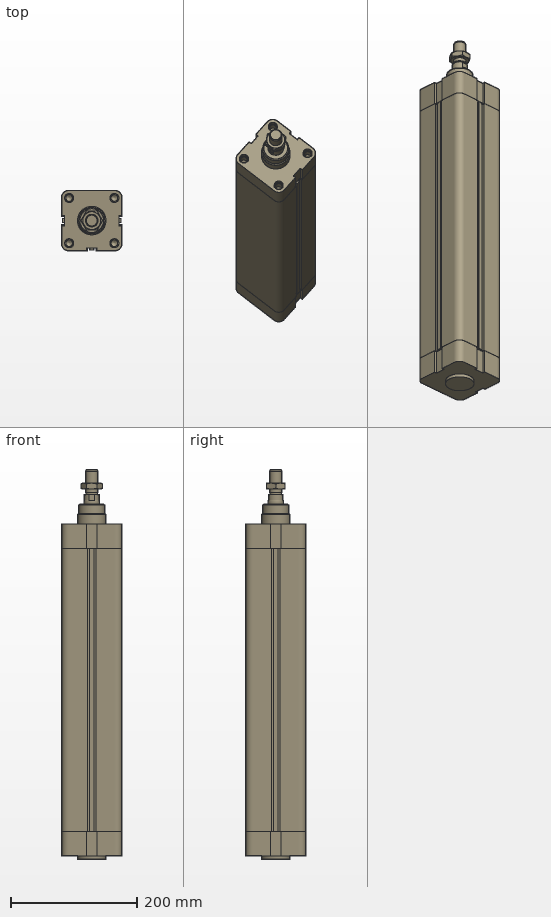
import cadquery as cq
import math

total_height = 618.0
side = 96.0
corner_radius = 11.0
foot_height = 5.5
cap_height = 39.0
cap_top_level = 532.0

notch_width = 16.5
notch_depth = 4.5
slot_width = 13.0
slot_depth = 4.5
rib_recess = 1.0
rib_width = 7.0
slot_side_angles = (-90, 0, 180)

hole_spacing = 71.5
counterbore_diameter = 14.0
counterbore_depth = 6.0
hole_diameter = 10.5
hole_depth = 18.5
drill_tip_angle = 118.0

spigot_diameter = 45.0
spigot_height = 16.5
collar_diameter = 41.5
collar_height = 31.5
collar_chamfer = 2.0

rod_diameter = 25.0
rod_top_level = 569.0
rod_taper_height = 2.0
tang_diameter = 24.0
tang_top_level = 578.5
flats_across = 22.0
undercut_diameter = 18.5
undercut_height = 3.0
thread_diameter = 20.0
thread_chamfer_height = 2.5
thread_chamfer_width = 1.0

nut_across_flats = 29.5
nut_bottom_level = 587.0
nut_height = 10.0
nut_face_diameter = 28.5
nut_chamfer_angle = 30.0

barrel_bottom_level = foot_height + cap_height
barrel_top_level = cap_top_level - cap_height
barrel_height = barrel_top_level - barrel_bottom_level


def cylinder(diameter, bottom, top):
    return cq.Workplane("XY").workplane(offset=bottom).circle(diameter / 2).extrude(top - bottom)


def rounded_block(bottom, height):
    block = cq.Workplane("XY").workplane(offset=bottom).rect(side, side).extrude(height)
    return block.edges("|Z").fillet(corner_radius)


def side_channel(width, depth, offset, bottom, height, angle):
    """Straight vertical channel in the side face that points along the given angle."""
    channel = (
        cq.Workplane("XY")
        .workplane(offset=bottom)
        .center(side / 2, offset)
        .rect(2 * depth, width)
        .extrude(height)
    )
    return channel.rotate((0, 0, 0), (0, 0, 1), angle)


def notched_block(bottom):
    """Cap block with a shallow notch down each slotted side."""
    block = rounded_block(bottom, cap_height)
    for angle in slot_side_angles:
        block = block.cut(side_channel(notch_width, notch_depth, 0, bottom, cap_height, angle))
    return block


def make_lower_cap():
    foot = cylinder(spigot_diameter, 0, foot_height)
    return notched_block(foot_height).union(foot)


def make_barrel():
    """Profiled block whose three sensor slots each keep a recessed rib between two grooves."""
    barrel = rounded_block(barrel_bottom_level, barrel_height)
    groove_width = (slot_width - rib_width) / 2
    groove_offset = (slot_width + rib_width) / 4
    for angle in slot_side_angles:
        barrel = barrel.cut(
            side_channel(slot_width, rib_recess, 0, barrel_bottom_level, barrel_height, angle)
        )
        for offset in (-groove_offset, groove_offset):
            barrel = barrel.cut(
                side_channel(groove_width, slot_depth, offset, barrel_bottom_level, barrel_height, angle)
            )
    return barrel


def screw_hole():
    """Cutter for one counterbored hole with a drilled tip, its mouth at the origin."""
    tip_depth = hole_diameter / 2 / math.tan(math.radians(drill_tip_angle / 2))
    profile = (
        cq.Workplane("XZ")
        .lineTo(counterbore_diameter / 2, 0)
        .lineTo(counterbore_diameter / 2, -counterbore_depth)
        .lineTo(hole_diameter / 2, -counterbore_depth)
        .lineTo(hole_diameter / 2, -hole_depth)
        .lineTo(0, -hole_depth - tip_depth)
        .close()
    )
    return profile.revolve(360, (0, 0, 0), (0, 1, 0))


def make_upper_cap():
    spigot_top = cap_top_level + spigot_height
    collar_top = cap_top_level + collar_height
    spigot = cylinder(spigot_diameter, cap_top_level, spigot_top)
    spigot = spigot.faces(">Z").edges().chamfer((spigot_diameter - collar_diameter) / 2)
    collar = cylinder(collar_diameter, cap_top_level, collar_top)
    collar = collar.faces(">Z").edges().chamfer(collar_chamfer)
    cap = notched_block(barrel_top_level).union(spigot).union(collar)
    for x in (-hole_spacing / 2, hole_spacing / 2):
        for y in (-hole_spacing / 2, hole_spacing / 2):
            cap = cap.cut(screw_hole().translate((x, y, cap_top_level)))
    return cap.cut(cylinder(rod_diameter, barrel_top_level, collar_top))


def make_rod():
    """Rod resting on the barrel, ending in a tang with two wrench flats and a thread."""
    rod = cylinder(rod_diameter, barrel_top_level, rod_top_level)
    rod = rod.faces(">Z").edges().chamfer(rod_taper_height, (rod_diameter - tang_diameter) / 2)
    tang = cylinder(tang_diameter, rod_top_level, tang_top_level)
    tang_height = tang_top_level - rod_top_level
    flats = (
        cq.Workplane("XY")
        .workplane(offset=rod_top_level)
        .rect(2 * tang_diameter, flats_across)
        .extrude(tang_height)
    )
    undercut_top = tang_top_level + undercut_height
    undercut = cylinder(undercut_diameter, tang_top_level, undercut_top)
    thread = cylinder(thread_diameter, undercut_top, total_height)
    thread = thread.faces(">Z").edges().chamfer(thread_chamfer_height, thread_chamfer_width)
    return rod.union(tang.intersect(flats)).union(undercut).union(thread)


def make_nut():
    across_corners = nut_across_flats / math.cos(math.pi / 6)
    hexagon = (
        cq.Workplane("XY").workplane(offset=nut_bottom_level).polygon(6, across_corners).extrude(nut_height)
    )
    chamfer_radial = (across_corners - nut_face_diameter) / 2
    chamfer_drop = chamfer_radial * math.tan(math.radians(nut_chamfer_angle))
    envelope = cylinder(across_corners, nut_bottom_level, nut_bottom_level + nut_height)
    envelope = envelope.faces("<Z or >Z").edges().chamfer(chamfer_drop, chamfer_radial)
    bore = cylinder(thread_diameter, nut_bottom_level, nut_bottom_level + nut_height)
    return hexagon.intersect(envelope).cut(bore)


lower_cap = make_lower_cap()
barrel = make_barrel()
upper_cap = make_upper_cap()
rod = make_rod()
nut = make_nut()

result = cq.Compound.makeCompound(
    [lower_cap.val(), barrel.val(), upper_cap.val(), rod.val(), nut.val()]
)